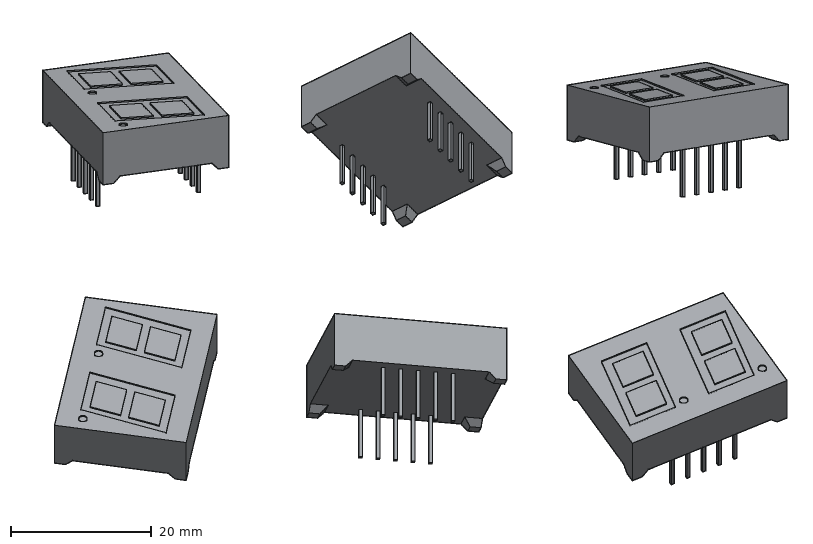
import cadquery as cq
import math


BODY_LENGTH = 25.0
BODY_WIDTH = 19.0
BODY_HEIGHT = 7.0
FOOT_HEIGHT = 1.0
FOOT_SIZE = 1.6
FOOT_SLOPE_RUN = 1.0

PIN_SIZE = 0.5
PIN_LENGTH = 7.3
PINS_PER_ROW = 5
PIN_ROW_LENGTH = 10.15
PIN_PITCH = PIN_ROW_LENGTH / (PINS_PER_ROW - 1)
PIN_ROW_SPACING = 15.25

DIGIT_PITCH = 12.7
DIGIT_HEIGHT = 12.7
DIGIT_WIDTH = 7.32
SLANT = math.tan(math.radians(10.0))
RECESS_DEPTH = 0.2

SEGMENT_WIDTH = 1.2
PANEL_WIDTH = 4.92
PANEL_SHIFT = 0.2
PANEL_HEIGHT = (DIGIT_HEIGHT - 3 * SEGMENT_WIDTH) / 2
PANEL_OFFSET = (PANEL_HEIGHT + SEGMENT_WIDTH) / 2

POINT_DIAMETER = 1.2
POINT_X = (DIGIT_WIDTH + DIGIT_HEIGHT * SLANT - POINT_DIAMETER) / 2
POINT_Y = (POINT_DIAMETER - DIGIT_HEIGHT) / 2

RECESS_FLOOR = BODY_HEIGHT - RECESS_DEPTH


def foot_channel(plane, span, length):
    """Tapered channel between the feet; it runs along the normal of the plane."""
    bottom_half = span / 2 - FOOT_SIZE
    top_half = bottom_half - FOOT_SLOPE_RUN
    outline = [
        (-bottom_half, -FOOT_HEIGHT),
        (bottom_half, -FOOT_HEIGHT),
        (top_half, 0),
        (-top_half, 0),
    ]
    return cq.Workplane(plane).polyline(outline).close().extrude(length / 2, both=True)


def slanted_block(width, height, center_x, center_y):
    """Parallelogram block that fills the recess depth; its sides lean with the digit."""
    y_bottom = center_y - height / 2
    y_top = center_y + height / 2
    x_bottom = center_x - width / 2 + y_bottom * SLANT
    x_top = center_x - width / 2 + y_top * SLANT
    outline = [
        (x_bottom, y_bottom),
        (x_bottom + width, y_bottom),
        (x_top + width, y_top),
        (x_top, y_top),
    ]
    return cq.Workplane("XY", origin=(0, 0, RECESS_FLOOR)).polyline(outline).close().extrude(RECESS_DEPTH)


def digit_recess(center_x):
    """Shallow digit window without its two panels, plus the decimal point."""
    recess = slanted_block(DIGIT_WIDTH, DIGIT_HEIGHT, center_x, 0)
    for panel_y in (-PANEL_OFFSET, PANEL_OFFSET):
        recess = recess.cut(slanted_block(PANEL_WIDTH, PANEL_HEIGHT, center_x + PANEL_SHIFT, panel_y))
    point = (
        cq.Workplane("XY", origin=(center_x + POINT_X, POINT_Y, RECESS_FLOOR))
        .circle(POINT_DIAMETER / 2)
        .extrude(RECESS_DEPTH)
    )
    return recess.union(point)


body = (
    cq.Workplane("XY", origin=(0, 0, -FOOT_HEIGHT))
    .rect(BODY_LENGTH, BODY_WIDTH)
    .extrude(BODY_HEIGHT + FOOT_HEIGHT)
    .cut(foot_channel("XZ", BODY_LENGTH, BODY_WIDTH))
    .cut(foot_channel("YZ", BODY_WIDTH, BODY_LENGTH))
)

for digit_x in (-DIGIT_PITCH / 2, DIGIT_PITCH / 2):
    body = body.cut(digit_recess(digit_x))

pins = (
    cq.Workplane("XY")
    .rarray(PIN_PITCH, PIN_ROW_SPACING, PINS_PER_ROW, 2)
    .rect(PIN_SIZE, PIN_SIZE)
    .extrude(-PIN_LENGTH)
)

result = body.union(pins)